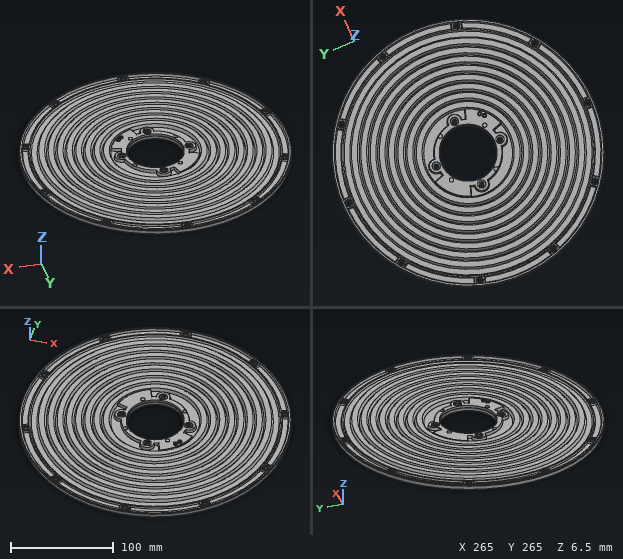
import cadquery as cq
import math

outer_radius = 132.5
top_height = 5.8
wall_height = 3.7

lip_outer_radius = 132.0
lip_slope_height = 4.5
lip_inner_radius = 130.0
lip_height = 5.0
channel_outer_radius = 129.0
channel_inner_radius = 123.8
channel_floor = 2.6
ridge_outer_radius = 123.2
ridge_inner_radius = 122.0
ridge_height = 4.5
step_outer_radius = 120.5
step_inner_radius = 115.0
step_height = 3.0
land_outer_radius = 113.5

groove_count = 7
outer_groove_radius = 106.0
inner_groove_radius = 52.2
groove_pitch = (outer_groove_radius - inner_groove_radius) / (groove_count - 1)
groove_half_width = 1.72
groove_depth = 3.2

recess_top_radius = 44.8
recess_floor_radius = 43.2
recess_floor = 2.6
pad_height = 5.5
pad_rise = pad_height - recess_floor

bore_top_radius = 28.0
bore_bottom_radius = 27.5
bore_ledge_height = 3.2
hub_radius = 32.9
hub_foot_radius = 33.7
wall_draft = math.degrees(math.atan2(hub_foot_radius - hub_radius, pad_rise))
pad_angles = (135, 315)
pad_span = 53.2
pad_outer_radius = 44.0

inner_screw_count = 4
inner_screw_circle = 33.7
inner_boss_radius = 7.5
inner_hole_radius = 1.3
inner_bore_radius = 2.5
inner_bore_depth = 2.6
inner_seat_radius = 4.0
inner_seat_depth = 1.3

rim_screw_count = 10
rim_screw_start_angle = 90
rim_screw_circle = 126.5
rim_boss_foot_width = 11.0
rim_boss_top_width = 9.5
rim_boss_height = 4.2
rim_hole_radius = 1.9
rim_bore_radius = 2.6
rim_bore_depth = 1.5
rim_seat_radius = 3.5
rim_seat_depth = 0.8

dimple_count = 4
dimple_circle = 31.5
dimple_radius = 2.0
dimple_depth = 0.3
dimple_start_angle = 36
ring_centers = ((27.3, -29.0), (30.7, -25.5))
ring_outer_radius = 2.0
ring_inner_radius = 1.2
ring_top = 6.5


def on_circle(radius, count, start_angle):
    """Evenly spaced (x, y) points around the axis."""
    angles = [math.radians(start_angle + i * 360 / count) for i in range(count)]
    return [(radius * math.cos(a), radius * math.sin(a)) for a in angles]


def cylinders(points, radius, bottom, top):
    """Upright cylinders of one radius at several points."""
    plane = cq.Workplane("XY").workplane(offset=bottom)
    return plane.pushPoints(points).circle(radius).extrude(top - bottom)


def revolve_profile(points):
    """Turn (radius, height) points about the Z axis."""
    return cq.Workplane("XZ").polyline(points).close().revolve(360, (0, 0), (0, 1))


def disc():
    """Turned disc with its stepped rim, grooves and central recess."""
    profile = [
        (0, 0),
        (outer_radius, 0),
        (outer_radius, wall_height),
        (lip_outer_radius, lip_slope_height),
        (lip_outer_radius, lip_height),
        (lip_inner_radius, lip_height),
        (channel_outer_radius, channel_floor),
        (channel_inner_radius, channel_floor),
        (ridge_outer_radius, ridge_height),
        (ridge_inner_radius, ridge_height),
        (step_outer_radius, step_height),
        (step_inner_radius, step_height),
        (land_outer_radius, top_height),
    ]
    for i in range(groove_count):
        radius = outer_groove_radius - i * groove_pitch
        profile += [
            (radius + groove_half_width, top_height),
            (radius, top_height - groove_depth),
            (radius - groove_half_width, top_height),
        ]
    profile += [
        (recess_top_radius, top_height),
        (recess_floor_radius, recess_floor),
        (0, recess_floor),
    ]
    return revolve_profile(profile)


def drafted_cylinders(points, foot_radius):
    """Raised round pads that narrow upward from the recess floor."""
    plane = cq.Workplane("XY").workplane(offset=recess_floor)
    return plane.pushPoints(points).circle(foot_radius).extrude(pad_rise, taper=wall_draft)


def sector_pad(middle_angle):
    """Drafted wedge running from the hub out to the recess wall."""
    half = math.radians(pad_span / 2)
    inner = bore_top_radius
    outer = pad_outer_radius
    wedge = (
        cq.Workplane("XY")
        .workplane(offset=recess_floor)
        .moveTo(inner * math.cos(half), -inner * math.sin(half))
        .lineTo(outer * math.cos(half), -outer * math.sin(half))
        .threePointArc((outer, 0), (outer * math.cos(half), outer * math.sin(half)))
        .lineTo(inner * math.cos(half), inner * math.sin(half))
        .close()
        .extrude(pad_rise, taper=wall_draft)
    )
    return wedge.rotate((0, 0, 0), (0, 0, 1), middle_angle)


def rim_bosses():
    """Drafted blocks that bridge the gasket channel at each rim screw."""
    half_foot = rim_boss_foot_width / 2
    half_top = rim_boss_top_width / 2
    section = [
        (-half_foot, channel_floor),
        (half_foot, channel_floor),
        (half_top, rim_boss_height),
        (-half_top, rim_boss_height),
    ]
    plane = cq.Workplane("YZ").workplane(offset=ridge_inner_radius)
    block = plane.polyline(section).close().extrude(lip_inner_radius - ridge_inner_radius)
    angles = [rim_screw_start_angle + i * 360 / rim_screw_count for i in range(rim_screw_count)]
    return [block.rotate((0, 0, 0), (0, 0, 1), angle) for angle in angles]


inner_screws = on_circle(inner_screw_circle, inner_screw_count, 0)
rim_screws = on_circle(rim_screw_circle, rim_screw_count, rim_screw_start_angle)
dimples = on_circle(dimple_circle, dimple_count, dimple_start_angle)

result = disc()
result = result.union(drafted_cylinders([(0, 0)], hub_foot_radius))
result = result.union(drafted_cylinders(inner_screws, inner_boss_radius))
for pad_angle in pad_angles:
    result = result.union(sector_pad(pad_angle))
for boss in rim_bosses():
    result = result.union(boss)

result = result.cut(cylinders([(0, 0)], bore_bottom_radius, 0, top_height))
result = result.cut(cylinders([(0, 0)], bore_top_radius, bore_ledge_height, top_height))

result = result.cut(cylinders(inner_screws, inner_hole_radius, 0, pad_height))
result = result.cut(cylinders(inner_screws, inner_bore_radius, pad_height - inner_bore_depth, pad_height))
result = result.cut(cylinders(inner_screws, inner_seat_radius, pad_height - inner_seat_depth, pad_height))

result = result.cut(cylinders(rim_screws, rim_hole_radius, 0, rim_boss_height))
result = result.cut(cylinders(rim_screws, rim_bore_radius, rim_boss_height - rim_bore_depth, rim_boss_height))
result = result.cut(cylinders(rim_screws, rim_seat_radius, rim_boss_height - rim_seat_depth, rim_boss_height))

result = result.cut(cylinders(dimples, dimple_radius, pad_height - dimple_depth, pad_height))
rings = cylinders(ring_centers, ring_outer_radius, recess_floor, ring_top)
result = result.union(rings.cut(cylinders(ring_centers, ring_inner_radius, pad_height, ring_top)))